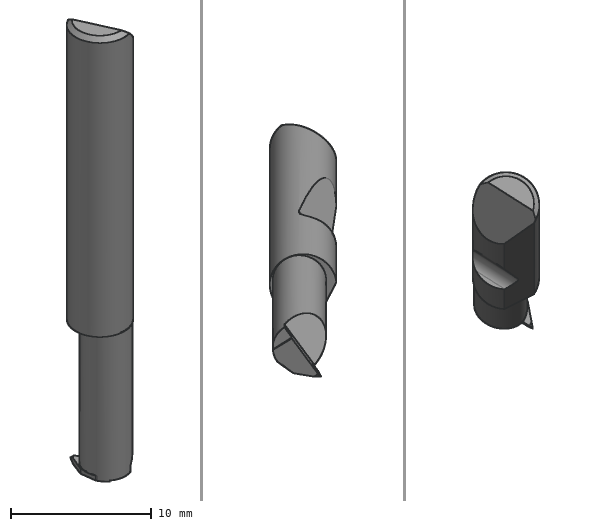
import cadquery as cq
import math

total_length = 38.1
shank_diameter = 4.75
shank_radius = shank_diameter / 2
shank_bottom = 12.65
top_chamfer = 0.38
flat_half_angle = 30.0
flat_direction = 150.0

bevel_start_y = -0.6

notch_bottom = 19.58
notch_top = 28.55
notch_floor_y = 0.9
notch_radius = 0.95

neck_diameter = 3.8
neck_radius = neck_diameter / 2
neck_x = 0.45
neck_bottom = 0.2
neck_corner_bevel = 0.2
neck_bevel_bottom = 0.72

tooth_top = 0.55
tooth_tip_x = -2.3
tooth_tip_z = 0.25
tooth_upper_corner_x = -1.98
tooth_lower_corner_x = -1.9
tooth_heel_x = -0.9
tooth_heel_y = -1.45
tooth_end_x = 0.57
tooth_foot_x = 1.4
tooth_relief_rise = 0.1

cut_size = 2 * shank_diameter


def prism_along_x(points):
    """Extrude a YZ outline across the full width of the part."""
    return cq.Workplane("YZ").polyline(points).close().extrude(cut_size / 2, both=True)


def make_shank():
    length = total_length - shank_bottom
    shank = cq.Workplane("XY").workplane(offset=shank_bottom).circle(shank_radius).extrude(length)
    shank = shank.faces(">Z").chamfer(top_chamfer)

    flat_distance = shank_radius * math.cos(math.radians(flat_half_angle))
    side_flat = (
        cq.Workplane("XY")
        .box(cut_size, cut_size, total_length, centered=(False, True, False))
        .translate((flat_distance, 0, 0))
        .rotate((0, 0, 0), (0, 0, 1), flat_direction)
    )
    bevel = prism_along_x([
        (bevel_start_y, total_length),
        (bevel_start_y + cut_size, total_length - cut_size),
        (bevel_start_y + cut_size, total_length),
    ])
    return shank.cut(side_flat).cut(bevel).cut(make_notch())


def make_notch():
    notch = prism_along_x([
        (shank_radius, notch_top),
        (notch_floor_y, notch_bottom),
        (shank_diameter, notch_bottom),
        (shank_diameter, notch_top),
    ])
    return notch.edges("|X").edges("<Y").fillet(notch_radius)


def make_neck():
    neck = (
        cq.Workplane("XY")
        .workplane(offset=neck_bottom)
        .center(neck_x, 0)
        .circle(neck_radius)
        .extrude(shank_bottom - neck_bottom)
    )
    bevel = prism_along_x([
        (0, 0),
        (0, neck_bevel_bottom),
        (cut_size, neck_bevel_bottom + cut_size),
        (cut_size, 0),
    ])
    clearance = cq.Workplane("XY").box(
        cut_size, cut_size, tooth_top, centered=(False, True, False)
    ).translate((tooth_end_x - cut_size, 0, 0))
    neck_side_x = neck_x - neck_radius
    corner_bevel = (
        cq.Workplane("XZ")
        .polyline([
            (neck_side_x, tooth_top),
            (neck_side_x, tooth_top + neck_corner_bevel),
            (neck_side_x + neck_corner_bevel, tooth_top),
        ])
        .close()
        .extrude(cut_size / 2, both=True)
    )
    return neck.cut(bevel).cut(clearance).cut(corner_bevel)


def make_tooth():
    profile = (
        cq.Workplane("XZ")
        .polyline([
            (tooth_tip_x, tooth_tip_z),
            (tooth_upper_corner_x, tooth_top),
            (tooth_end_x, tooth_top),
            (tooth_end_x, neck_bottom),
            (tooth_foot_x, neck_bottom),
            (tooth_foot_x, 0),
            (tooth_lower_corner_x, 0),
        ])
        .close()
        .extrude(neck_radius)
    )
    outline = (
        cq.Workplane("XY")
        .moveTo(tooth_tip_x, 0)
        .lineTo(tooth_heel_x, tooth_heel_y)
        .lineTo(neck_x, -neck_radius)
        .threePointArc(
            (neck_x + neck_radius * math.sqrt(0.5), -neck_radius * math.sqrt(0.5)),
            (neck_x + neck_radius, 0),
        )
        .close()
        .extrude(neck_bevel_bottom)
    )
    relief = prism_along_x([(0, 0), (-neck_radius, 0), (-neck_radius, tooth_relief_rise)])
    return profile.intersect(outline).cut(relief)


result = make_shank().union(make_neck()).union(make_tooth())